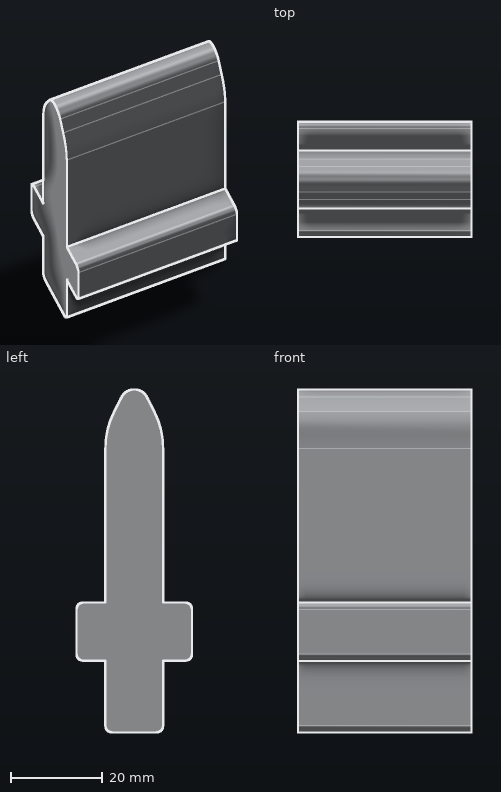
import cadquery as cq
import math

length = 38.1
height = 75.3
blade_thickness = 12.7
corner_radius = 1.5

bar_width = 25.4
bar_height = 12.8
bar_bottom = 15.75

shoulder_height = 62.35
side_radius = 17.7
flank_angle = math.radians(27)
half_blade = blade_thickness / 2

flank_y = half_blade - side_radius * (1 - math.cos(flank_angle))
flank_z = shoulder_height + side_radius * math.sin(flank_angle)
side_mid_y = half_blade - side_radius * (1 - math.cos(flank_angle / 2))
side_mid_z = shoulder_height + side_radius * math.sin(flank_angle / 2)

flank_reach = flank_y * math.cos(flank_angle) + flank_z * math.sin(flank_angle)
tip_radius = (flank_reach - height * math.sin(flank_angle)) / (1 - math.sin(flank_angle))
tip_y = tip_radius * math.cos(flank_angle)
tip_z = height - tip_radius * (1 - math.sin(flank_angle))


def make_blade():
    """Blade with a pointed nose and rounded bottom edges."""
    profile = (
        cq.Workplane("YZ")
        .moveTo(-half_blade, 0)
        .lineTo(half_blade, 0)
        .lineTo(half_blade, shoulder_height)
        .threePointArc((side_mid_y, side_mid_z), (flank_y, flank_z))
        .lineTo(tip_y, tip_z)
        .threePointArc((0, height), (-tip_y, tip_z))
        .lineTo(-flank_y, flank_z)
        .threePointArc((-side_mid_y, side_mid_z), (-half_blade, shoulder_height))
        .close()
    )
    blade = profile.extrude(length / 2, both=True)
    return blade.faces("<Z").edges("|X").fillet(corner_radius)


def make_bar():
    """Cross bar with rounded long edges."""
    bar = (
        cq.Workplane("XY")
        .box(length, bar_width, bar_height, centered=(True, True, False))
        .translate((0, 0, bar_bottom))
    )
    return bar.edges("|X").fillet(corner_radius)


result = make_blade().union(make_bar())